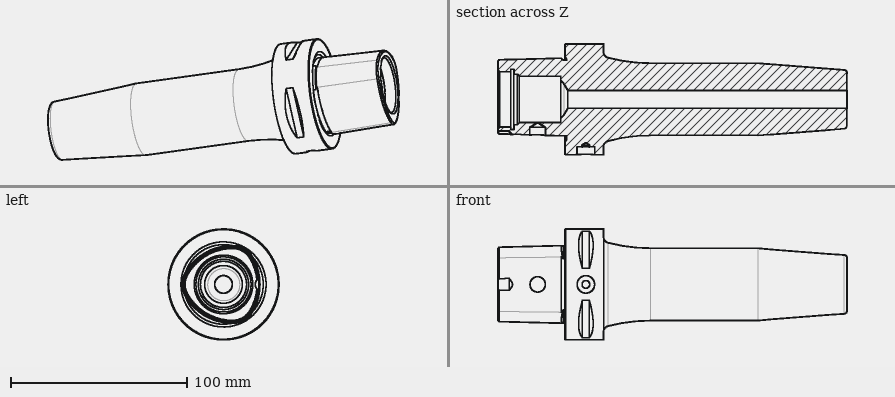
import cadquery as cq
import math

total_length = 198.0

shank_end_width = 42.4
lobe_height = 1.4
lobe_centre_radius = 10.7
shank_length = 36.0
shank_half_taper = math.degrees(math.atan(1 / 40))
shank_lead_chamfer = 0.8

neck_lobe_start_radius = 23.4
neck_lobe_end_radius = 22.4
neck_lobe_chamfer = 1.0
recess_rim_radius = 24.2
recess_floor_radius = 22.5
recess_depth = 1.0

flange_start = 38.0
flange_end = 60.0
flange_radius = 31.5
flange_chamfer = 0.4

flare_arc_radius = 95.0
flare_end = 86.5
flare_fillet = 3.2
body_radius = 20.5
nose_start = 147.3
nose_end_radius = 16.6
nose_round = 2.0

mouth_radius = 16.6
mouth_chamfer = 1.0
entry_radius = 15.6
groove_start = 7.3
groove_end = 9.1
groove_radius = 17.0
land_radius = 14.3
land_end = 11.0
main_bore_start = 12.3
main_bore_radius = 13.0
main_bore_end = 35.6
step_radius = 10.7
step_inner_radius = 9.1
step_chamfer = 1.5
through_radius = 5.0

slot_position = 49.9
slot_floor_distance = 27.7
slot_floor_width = 4.0
slot_wall_angle = 30.0
slot_count = 4
first_slot_angle = 45.0

drill_tip_angle = 118.0
chip_hole_radius = 5.0
chip_hole_depth = 4.5
chip_spot_radius = 2.2
chip_spot_depth = 1.0
cross_hole_position = 22.5
cross_hole_radius = 4.4
cross_hole_floor_distance = 15.8
notch_radius = 4.2
notch_axis_distance = 22.2
notch_depth = 6.3
notch_tip_angle = 90.0

neck_width = shank_end_width + 2 * shank_length * math.tan(math.radians(shank_half_taper))
recess_floor = flange_start + recess_depth


def polar(radius, degrees):
    angle = math.radians(degrees)
    return (radius * math.cos(angle), radius * math.sin(angle))


def lobed_section(width, position):
    """Three lobe arcs joined by three flatter arcs in a YZ plane, with one lobe towards +Y."""
    tip_radius = width / 2 + lobe_height
    flat_radius = width / 2 - lobe_height
    lobe_radius = tip_radius - lobe_centre_radius

    def lobe_point(lobe, degrees):
        centre_y, centre_z = polar(lobe_centre_radius, lobe)
        offset_y, offset_z = polar(lobe_radius, degrees)
        return (centre_y + offset_y, centre_z + offset_z)

    section = cq.Workplane("YZ", origin=(position, 0, 0)).moveTo(*lobe_point(0, -30))
    for lobe in (0, 120, 240):
        next_lobe = lobe + 120
        section = section.threePointArc(polar(tip_radius, lobe), lobe_point(lobe, lobe + 30))
        section = section.threePointArc(polar(flat_radius, lobe + 60), lobe_point(next_lobe, next_lobe - 30))
    return section.close()


def turned(profile):
    """Revolve a profile in the XY plane about the X axis."""
    return profile.close().revolve(360, (0, 0, 0), (1, 0, 0))


def make_shank():
    shank = lobed_section(shank_end_width, 0).extrude(shank_length, taper=-shank_half_taper)
    return shank.faces("<X").chamfer(shank_lead_chamfer)


def make_neck():
    neck = lobed_section(neck_width, shank_length).extrude(recess_floor - shank_length)
    envelope = turned(
        cq.Workplane("XY")
        .moveTo(shank_length, 0)
        .lineTo(shank_length, neck_lobe_start_radius)
        .lineTo(shank_length + neck_lobe_chamfer, neck_lobe_end_radius)
        .lineTo(recess_floor, neck_lobe_end_radius)
        .lineTo(recess_floor, 0)
    )
    return neck.intersect(envelope)


def flare_rise(distance):
    """Height of the flare arc above the body, at a distance before the flare's end."""
    return flare_arc_radius - math.sqrt(flare_arc_radius**2 - distance**2)


def make_flange():
    return turned(
        cq.Workplane("XY")
        .moveTo(recess_floor, 0)
        .lineTo(recess_floor, recess_floor_radius)
        .lineTo(flange_start, recess_rim_radius)
        .lineTo(flange_start, flange_radius - flange_chamfer)
        .lineTo(flange_start + flange_chamfer, flange_radius)
        .lineTo(flange_end, flange_radius)
        .lineTo(flange_end, 0)
    )


def make_body():
    flare_length = flare_end - flange_end
    flare_middle = (flare_end - flare_length / 2, body_radius + flare_rise(flare_length / 2))
    body = turned(
        cq.Workplane("XY")
        .moveTo(flange_end, 0)
        .lineTo(flange_end, body_radius + flare_rise(flare_length))
        .threePointArc(flare_middle, (flare_end, body_radius))
        .lineTo(nose_start, body_radius)
        .lineTo(total_length, nose_end_radius)
        .lineTo(total_length, 0)
    )
    return body.faces(">X").edges().fillet(nose_round)


def make_holder():
    holder = make_flange().union(make_body())
    flange_back = holder.faces("%PLANE").faces(cq.selectors.NearestToPointSelector((flange_end, 0, 0)))
    flare_root = flange_back.edges(cq.selectors.RadiusNthSelector(0))
    return flare_root.fillet(flare_fillet)


def make_bore():
    step_cone_start = main_bore_end + step_chamfer
    step_cone_length = (step_inner_radius - through_radius) / math.tan(math.radians(drill_tip_angle / 2))
    return turned(
        cq.Workplane("XY")
        .lineTo(0, mouth_radius)
        .lineTo(mouth_chamfer, entry_radius)
        .lineTo(groove_start, entry_radius)
        .lineTo(groove_start, groove_radius)
        .lineTo(groove_end, groove_radius)
        .lineTo(groove_end, land_radius)
        .lineTo(land_end, land_radius)
        .lineTo(main_bore_start, main_bore_radius)
        .lineTo(main_bore_end, main_bore_radius)
        .lineTo(main_bore_end, step_radius)
        .lineTo(step_cone_start, step_inner_radius)
        .lineTo(step_cone_start + step_cone_length, through_radius)
        .lineTo(total_length, through_radius)
        .lineTo(total_length, 0)
    )


def make_slot():
    """Straight groove with sloped walls, cut across the +Y side of the flange."""
    depth = flange_radius - slot_floor_distance
    half_floor = slot_floor_width / 2
    half_top = half_floor + depth * math.tan(math.radians(slot_wall_angle))
    return (
        cq.Workplane("XY")
        .moveTo(slot_position - half_floor, slot_floor_distance)
        .lineTo(slot_position + half_floor, slot_floor_distance)
        .lineTo(slot_position + half_top, flange_radius)
        .lineTo(slot_position - half_top, flange_radius)
        .close()
        .extrude(flange_radius, both=True)
    )


def make_drill(radius, depth, tip_angle):
    """Cylinder along +X from the origin, with a conical tip beyond its depth."""
    tip_length = radius / math.tan(math.radians(tip_angle / 2))
    return turned(
        cq.Workplane("XY")
        .lineTo(0, radius)
        .lineTo(depth, radius)
        .lineTo(depth + tip_length, 0)
    )


def make_side_drill(radius, depth, position, start_distance):
    """Drill towards +Y, starting at a distance from the part axis on its -Y side."""
    drill = make_drill(radius, depth, drill_tip_angle)
    return drill.rotate((0, 0, 0), (0, 0, 1), 90).translate((position, -start_distance, 0))


def make_chip_hole():
    """Flat-bottomed hole with a small drilled spot in its floor."""
    floor_distance = flange_radius - chip_hole_depth
    plane = cq.Workplane("XZ", origin=(slot_position, -floor_distance, 0))
    hole = plane.circle(chip_hole_radius).extrude(chip_hole_depth)
    spot = make_side_drill(chip_spot_radius, chip_spot_depth, slot_position, floor_distance)
    return hole.union(spot)


def make_cross_hole():
    start_distance = neck_width / 2
    depth = start_distance - cross_hole_floor_distance
    return make_side_drill(cross_hole_radius, depth, cross_hole_position, start_distance)


def make_notch():
    notch = make_drill(notch_radius, notch_depth, notch_tip_angle)
    return notch.translate((0, -notch_axis_distance, 0))


result = make_shank().union(make_neck()).union(make_holder()).cut(make_bore())
for index in range(slot_count):
    slot_angle = first_slot_angle + index * 360 / slot_count
    result = result.cut(make_slot().rotate((0, 0, 0), (1, 0, 0), slot_angle))
result = result.cut(make_chip_hole())
result = result.cut(make_cross_hole())
result = result.cut(make_notch())